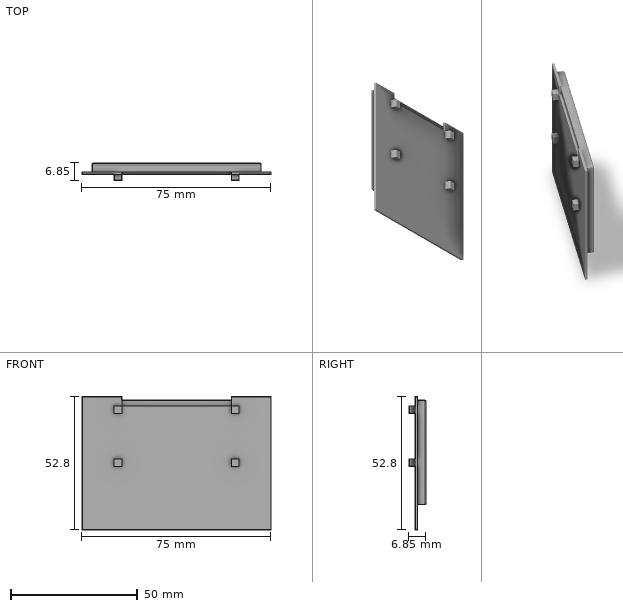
import cadquery as cq

plate_width = 75.0
plate_height = 52.8
plate_thickness = 1.0
notch_width = 43.5
notch_depth = 3.7

foot_side = 3.0
foot_length = 2.4
foot_row_pitch = 21.0

panel_width = 67.05
panel_height = 41.4
panel_depth = 3.45
panel_top_drop = 1.4
panel_edge_radius = 0.7

notch_floor_z = plate_height - notch_depth


def make_plate():
    """Notched plate with four feet, two at each side of the notch."""
    plate = cq.Workplane("XY").box(
        plate_width, plate_thickness, plate_height, centered=(True, False, False)
    ).translate((0, -plate_thickness, 0))
    notch = cq.Workplane("XY").box(
        notch_width, plate_thickness, notch_depth, centered=(True, False, False)
    ).translate((0, -plate_thickness, notch_floor_z))
    plate = plate.cut(notch)

    foot_x = (notch_width + foot_side) / 2
    upper_foot_z = notch_floor_z - foot_side / 2
    for x in (-foot_x, foot_x):
        for z in (upper_foot_z, upper_foot_z - foot_row_pitch):
            foot = cq.Workplane("XY").box(
                foot_side, foot_length, foot_side, centered=(True, False, True)
            ).translate((x, -plate_thickness - foot_length, z))
            plate = plate.union(foot)
    return plate


def make_panel():
    """Rectangular panel with rounded edges around its outer face."""
    panel_bottom_z = plate_height - panel_top_drop - panel_height
    panel = cq.Workplane("XY").box(
        panel_width, panel_depth, panel_height, centered=(True, False, False)
    ).translate((0, 0, panel_bottom_z))
    return panel.faces(">Y").edges().fillet(panel_edge_radius)


plate = make_plate()
panel = make_panel()

result = cq.Compound.makeCompound([plate.val(), panel.val()])